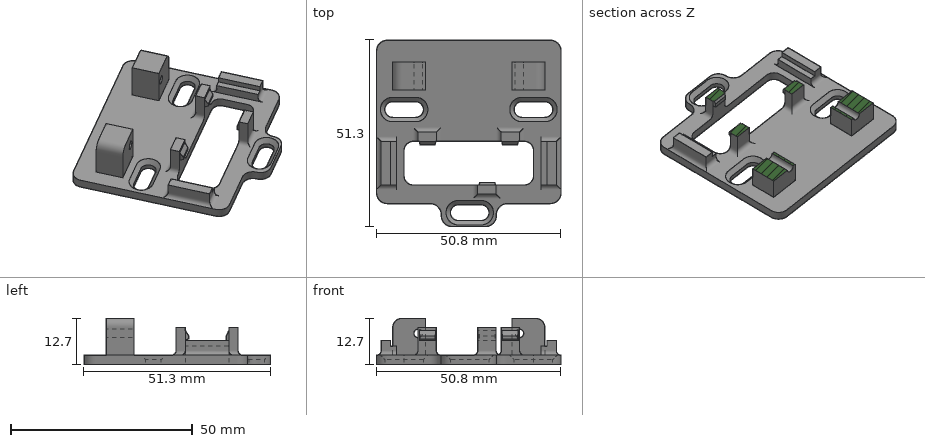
import cadquery as cq

plate_width = 50.8
plate_length = 45.0
plate_thickness = 2.55
corner_radius = 3.05
total_length = 51.3
plate_back = total_length / 2
plate_front = plate_back - plate_length

tab_half_width = 7.6
tab_front = plate_back - total_length

window_width = 35.55
window_back = -2.2
window_length = 11.95
window_front = window_back - window_length
window_corner_radius = 2.5

slot_straight = 6.3
slot_width = 4.25
slot_chamfer = 1.25
countersink_angle = 45
slot_places = [
    (-window_width / 2, 6.55),
    (window_width / 2, 6.55),
    (0.25, -21.8),
]

block_inner_x = 11.85
block_width = 9.1
block_front = 11.9
block_length = 7.7
block_top = 12.7
block_corner_radius = 2.55
pin_diameter = 2.3
pin_x = 13.9
pin_z = 8.55

flare = 1.3
flare_top = plate_thickness + flare

post_width = 5.1
post_depth = 2.55
post_top = 10.2
back_post_x = 11.45
front_post_x = 5.0

hook_root_width = 4.55
hook_tip_width = 4.15
hook_offset = 0.1
hook_root_bottom = 6.65
hook_root_top = 9.4
hook_tip_top = 7.85
back_hook_reach = 1.0
back_hook_tip_bottom = 7.1
front_hook_reach = 0.7

rail_inner_x = 19.9
rail_step_x = 21.5
rail_outer_x = plate_width / 2 - flare
rail_step_z = 5.1
rail_top = 6.6


def extrude_along_x(profile, start, end):
    """Extrude a closed (y, z) profile between two x positions."""
    return profile.extrude(end - start).translate((start, 0, 0))


def extrude_along_y(profile, start, end):
    """Extrude a closed (x, z) profile between two y positions."""
    return profile.extrude(start - end).translate((0, start, 0))


def flared_profile(plane, low, high, top, flare_low=True, flare_high=True):
    """Upright strip whose chosen sides curve outward to meet the plate."""
    foot_low = low - flare if flare_low else low
    foot_high = high + flare if flare_high else high
    strip = cq.Workplane(plane).moveTo(foot_high, 0).lineTo(foot_low, 0)
    if flare_low:
        strip = strip.lineTo(foot_low, plate_thickness).radiusArc((low, flare_top), -flare)
    strip = strip.lineTo(low, top).lineTo(high, top)
    if flare_high:
        strip = strip.lineTo(high, flare_top).radiusArc((foot_high, plate_thickness), -flare)
    return strip.close()


def make_plate():
    """Base plate with its front tab and the window cut out."""
    body = (
        cq.Workplane("XY")
        .rect(plate_width, plate_length)
        .extrude(plate_thickness)
        .translate((0, (plate_back + plate_front) / 2, 0))
    )
    tab_length = window_front - tab_front
    tab = (
        cq.Workplane("XY")
        .rect(2 * tab_half_width, tab_length)
        .extrude(plate_thickness)
        .translate((0, (window_front + tab_front) / 2, 0))
    )
    window = (
        cq.Workplane("XY")
        .rect(window_width, window_length)
        .extrude(plate_thickness)
        .edges("|Z")
        .fillet(window_corner_radius)
        .translate((0, (window_back + window_front) / 2, 0))
    )
    return body.union(tab).edges("|Z").fillet(corner_radius).cut(window)


def slot_cutter(x, y):
    """Round-ended through slot with a countersink at the top."""
    through = cq.Workplane("XY").slot2D(slot_straight + slot_width, slot_width).extrude(plate_thickness)
    mouth_width = slot_width + 2 * slot_chamfer
    countersink = (
        cq.Workplane("XY", origin=(0, 0, plate_thickness))
        .slot2D(slot_straight + mouth_width, mouth_width)
        .extrude(-slot_chamfer, taper=countersink_angle)
    )
    return through.union(countersink).translate((x, y, 0))


def make_block():
    """Pivot block on the +X side, rounded on its upper outer edge."""
    block = (
        cq.Workplane("XY")
        .box(block_width, block_length, block_top, centered=False)
        .edges("|Y and >X and >Z")
        .fillet(block_corner_radius)
        .translate((block_inner_x, block_front, 0))
    )
    pin_circle = cq.Workplane("XZ").center(pin_x, pin_z).circle(pin_diameter / 2)
    return block.cut(extrude_along_y(pin_circle, block_front, block_front + block_length))


def make_rail():
    """Stepped rail on the +X side, flared on its outer side and both ends."""
    across = flared_profile("XZ", rail_inner_x, rail_outer_x, rail_top, flare_low=False)
    along = flared_profile("YZ", window_front, window_back, rail_top)
    rail = extrude_along_y(across, window_front - flare, window_back + flare)
    rail = rail.intersect(extrude_along_x(along, rail_inner_x, rail_outer_x + flare))
    step = (
        cq.Workplane("XY")
        .box(rail_step_x - rail_inner_x, window_length, rail_top - rail_step_z, centered=False)
        .translate((rail_inner_x, window_front, rail_step_z))
    )
    return rail.cut(step)


def make_hook(reach, tip_bottom):
    """Tapered hook growing toward -Y from a root at y = 0."""
    root_height = hook_root_top - hook_root_bottom
    tip_height = hook_tip_top - tip_bottom
    root_middle = (hook_root_top + hook_root_bottom) / 2
    tip_middle = (hook_tip_top + tip_bottom) / 2
    return (
        cq.Workplane("XZ", origin=(0, 0, root_middle))
        .rect(hook_root_width, root_height)
        .workplane(offset=reach)
        .center(0, tip_middle - root_middle)
        .rect(hook_tip_width, tip_height)
        .loft(ruled=True)
    )


def make_clip(hook_reach, hook_tip_bottom):
    """Clip post with its hooked face on y = 0, hooking toward -Y."""
    half_width = post_width / 2
    across = flared_profile("XZ", -half_width, half_width, post_top)
    along = flared_profile("YZ", 0, post_depth, post_top, flare_low=False)
    post = extrude_along_y(across, 0, post_depth + flare)
    post = post.intersect(extrude_along_x(along, -half_width - flare, half_width + flare))
    return post.union(make_hook(hook_reach, hook_tip_bottom).translate((-hook_offset, 0, 0)))


result = make_plate()
for slot_x, slot_y in slot_places:
    result = result.cut(slot_cutter(slot_x, slot_y))

back_clip = make_clip(back_hook_reach, back_hook_tip_bottom)
back_clip = back_clip.translate((back_post_x, window_back, 0))
for feature in (make_block(), make_rail(), back_clip):
    result = result.union(feature).union(feature.mirror("YZ"))

front_clip = make_clip(front_hook_reach, hook_root_bottom)
front_clip = front_clip.rotate((0, 0, 0), (0, 0, 1), 180)
result = result.union(front_clip.translate((front_post_x, window_front, 0)))